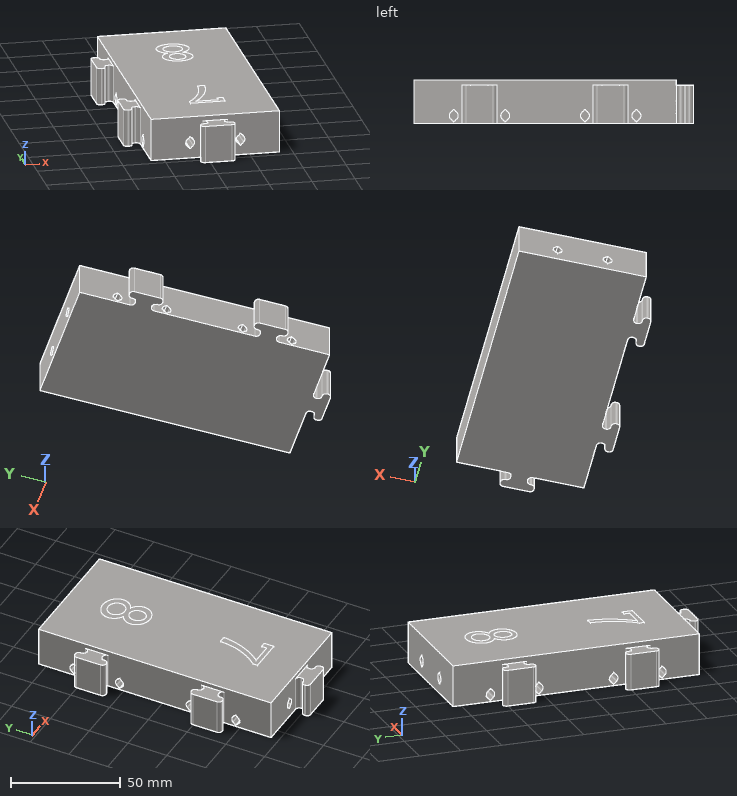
import cadquery as cq
import math

tile_height = 20.0
tile_width = 60.0
tile_length = 2 * tile_width
half_width = tile_width / 2
half_length = tile_length / 2

connector_reach = 7.9
head_thickness = connector_reach / 2
head_width = 16.0
neck_width = head_width / 2
corner_radius = 1.8
connector_height = 17.5
connector_spacing = tile_width

hole_radius = 2.0
hole_offset = 11.8
end_hole_level = 7.4
side_hole_level = 3.6
side_hole_depth = 12.8

inlay_depth = 1.0
inlay_floor = tile_height - inlay_depth

eight_x = 0.1
upper_lobe = (36.0, 7.5, 6.7)
lower_lobe = (24.7, 7.0, 6.4)
upper_eye = (35.6, 4.5, 4.2)
lower_eye = (24.7, 3.7, 4.1)

stem_top = -17.9
stem_top_left = 0.4
stem_top_right = 3.8
stem_left_bend = (-1.2, -27.5)
stem_right_bend = (2.0, -27.1)
bar_left = -7.7
bar_right = 8.5
bar_inner_left = -4.6
bar_inner_edge = -39.0
bar_outer_edge = -41.3
serif_left = 5.8
serif_top = -36.3


def make_connector():
    """T-shaped connector that starts at Y = 0 and reaches towards -Y."""
    half_head = head_width / 2
    half_neck = neck_width / 2
    flare = half_neck + corner_radius
    head_flat = half_head - corner_radius
    neck_start = -corner_radius
    neck_end = corner_radius - head_thickness
    head_start = -head_thickness - corner_radius
    head_end = corner_radius - connector_reach
    half_profile = (
        cq.Workplane("XY")
        .lineTo(flare, 0)
        .radiusArc((half_neck, neck_start), -corner_radius)
        .lineTo(half_neck, neck_end)
        .radiusArc((flare, -head_thickness), -corner_radius)
        .lineTo(head_flat, -head_thickness)
        .radiusArc((half_head, head_start), corner_radius)
        .lineTo(half_head, head_end)
        .radiusArc((head_flat, -connector_reach), corner_radius)
        .lineTo(0, -connector_reach)
    )
    return half_profile.mirrorY().extrude(connector_height)


def make_hole(depth, level):
    """Round hole with a 90 degree point above and below, from Y = 0 towards +Y."""
    tangent = hole_radius / math.sqrt(2)
    point = hole_radius * math.sqrt(2)
    return (
        cq.Workplane("XZ", origin=(0, 0, level))
        .moveTo(0, point)
        .lineTo(tangent, tangent)
        .threePointArc((hole_radius, 0), (tangent, -tangent))
        .lineTo(0, -point)
        .lineTo(-tangent, -tangent)
        .threePointArc((-hole_radius, 0), (-tangent, tangent))
        .close()
        .extrude(-depth)
    )


def on_long_side(shape, y):
    """Turn a shape built for the -Y side onto the -X side, centred at y."""
    return shape.rotate((0, 0, 0), (0, 0, 1), -90).translate((-half_width, y, 0))


def on_short_side(shape, x):
    """Move a shape onto the -Y side, centred at x."""
    return shape.translate((x, -half_length, 0))


def ellipse_prism(ellipse):
    """Upright elliptical prism as deep as the inlays."""
    center_y, half_x, half_y = ellipse
    return (
        cq.Workplane("XY", origin=(eight_x, center_y, inlay_floor))
        .ellipse(half_x, half_y)
        .extrude(inlay_depth)
    )


def make_eight():
    """Two overlapping elliptical lobes, each with an open eye."""
    lobes = ellipse_prism(upper_lobe).union(ellipse_prism(lower_lobe))
    return lobes.cut(ellipse_prism(upper_eye)).cut(ellipse_prism(lower_eye))


def make_seven():
    """Seven that reads upside down: curved stem, straight bar and serif."""
    return (
        cq.Workplane("XY", origin=(0, 0, inlay_floor))
        .moveTo(stem_top_left, stem_top)
        .lineTo(stem_top_right, stem_top)
        .threePointArc(stem_right_bend, (bar_inner_left, bar_inner_edge))
        .lineTo(serif_left, bar_inner_edge)
        .lineTo(serif_left, serif_top)
        .lineTo(bar_right, serif_top)
        .lineTo(bar_right, bar_outer_edge)
        .lineTo(bar_left, bar_outer_edge)
        .lineTo(bar_left, bar_inner_edge)
        .threePointArc(stem_left_bend, (stem_top_left, stem_top))
        .close()
        .extrude(inlay_depth)
    )


def make_tile(inlays):
    """Block with its connectors, pin holes and a recess for each inlay."""
    tile = cq.Workplane("XY").box(tile_width, tile_length, tile_height, centered=(True, True, False))
    connector = make_connector()
    end_hole = make_hole(tile_length, end_hole_level)
    side_hole = make_hole(side_hole_depth, side_hole_level)

    tile = tile.union(on_short_side(connector, 0))
    for side in (-1, 1):
        tile = tile.union(on_long_side(connector, side * connector_spacing / 2))

    for offset in (-hole_offset, hole_offset):
        tile = tile.cut(on_short_side(end_hole, offset))
        for side in (-1, 1):
            tile = tile.cut(on_long_side(side_hole, side * connector_spacing / 2 + offset))

    for inlay in inlays:
        tile = tile.cut(inlay)
    return tile


eight = make_eight()
seven = make_seven()
tile = make_tile([eight, seven])

result = cq.Compound.makeCompound([tile.val(), eight.val(), seven.val()])